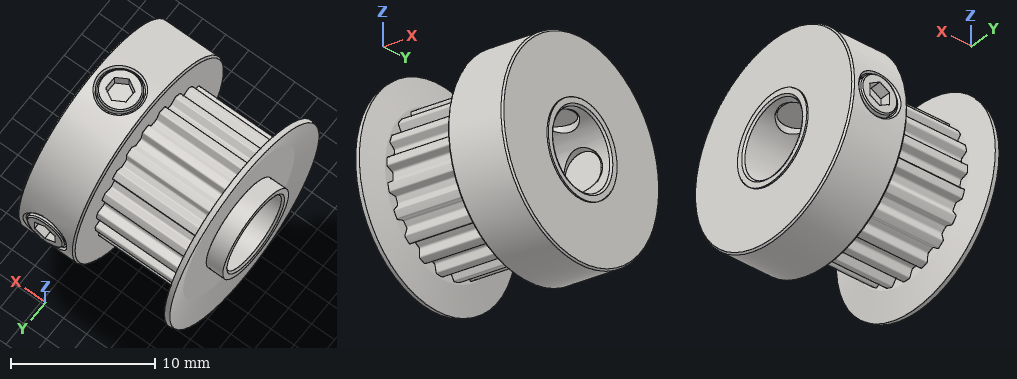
import cadquery as cq
import math

total_length = 14.29
flange_start = 0.97
flange_dish = 0.47
flange_thickness = 0.42
disc_front = flange_start + flange_dish
disc_back = disc_front + flange_thickness
collar_start = 9.24
collar_end = 14.16

outer_radius = 8.7
flange_lean = 0.09
flange_disc_radius = 6.42
boss_radius = 3.8
bore_radius = 3.17
bore_chamfer = 0.15
collar_chamfer = 0.14

tooth_count = 20
tooth_tip_radius = 6.25
tooth_root_radius = 5.59
tooth_tip_width = 0.7
tooth_flank_angle = 18.0
tooth_tip_fillet = 0.14
tooth_root_fillet = 0.2
tooth_phase = -4.0
tooth_blank_margin = 0.17

screw_radius = 1.62
screw_chamfer = 0.1
screw_hole_radius = 1.74
screw_hole_chamfer = 0.15
screw_x = 11.76
hex_across_flats = 1.75
hex_depth = 0.95
screw_turns = [0, -90]


def x_cylinder(radius, start, end):
    """Cylinder on the X axis between two X positions."""
    return cq.Workplane("YZ", origin=(start, 0, 0)).circle(radius).extrude(end - start)


def about_x(body, degrees):
    """Turn a body about the pulley axis."""
    return body.rotate((0, 0, 0), (1, 0, 0), degrees)


def make_flange():
    """Dished sheet: a flat disc with a conical wall that flares to the front."""
    return (
        cq.Workplane("XY")
        .polyline([
            (disc_front, 0),
            (disc_front, flange_disc_radius),
            (flange_start, outer_radius - flange_lean),
            (flange_start + flange_thickness, outer_radius),
            (disc_back, flange_disc_radius),
            (disc_back, 0),
        ])
        .close()
        .revolve(360, (0, 0, 0), (1, 0, 0))
    )


def tooth_half_width(radius):
    """Half width of the straight-flanked tooth blank at a distance from the axis."""
    return tooth_tip_width / 2 + (tooth_tip_radius - radius) * math.tan(math.radians(tooth_flank_angle))


def make_tooth(start):
    """One sharp-edged tooth along +Y, sunk into the drum and topped by the tip cylinder."""
    inner = tooth_root_radius - tooth_blank_margin
    outer = tooth_tip_radius + tooth_blank_margin
    blank = (
        cq.Workplane("YZ", origin=(start, 0, 0))
        .polyline([
            (inner, -tooth_half_width(inner)),
            (outer, -tooth_half_width(outer)),
            (outer, tooth_half_width(outer)),
            (inner, tooth_half_width(inner)),
        ])
        .close()
        .extrude(collar_start - start)
    )
    return blank.intersect(x_cylinder(tooth_tip_radius, start, collar_start))


def round_tooth_edges(drum):
    """Fillet the lengthwise edges, with one radius at the roots and another at the tips."""
    middle_radius = (tooth_tip_radius + tooth_root_radius) / 2
    tip_edges = []
    root_edges = []
    for edge in drum.edges("|X").vals():
        center = edge.Center()
        if math.hypot(center.y, center.z) > middle_radius:
            tip_edges.append(edge)
        else:
            root_edges.append(edge)
    solid = drum.val().fillet(tooth_root_fillet, root_edges)
    solid = solid.fillet(tooth_tip_fillet, tip_edges)
    return cq.Workplane(solid)


def make_toothed_drum():
    """Drum with evenly spaced teeth between the flange and the collar."""
    start = disc_front
    drum = x_cylinder(tooth_root_radius, start, collar_start)
    tooth = make_tooth(start)
    for index in range(tooth_count):
        drum = drum.union(about_x(tooth, tooth_phase + index * 360 / tooth_count))
    return round_tooth_edges(drum)


def cut_screw_hole(collar, turn):
    """Turn the collar so the hole points to +Z, cut and chamfer it, and turn it back."""
    hole = cq.Workplane("XY", origin=(screw_x, 0, 0)).circle(screw_hole_radius).extrude(outer_radius)
    collar = about_x(collar, -turn).cut(hole)
    rim = cq.selectors.NearestToPointSelector((screw_x, 0, outer_radius))
    collar = collar.edges(rim).chamfer(screw_hole_chamfer)
    return about_x(collar, turn)


def make_collar():
    """Collar with chamfered ends and a radial hole for each set screw."""
    collar = x_cylinder(outer_radius, collar_start, collar_end)
    collar = collar.faces("<X or >X").edges().chamfer(collar_chamfer)
    for turn in screw_turns:
        collar = cut_screw_hole(collar, turn)
    return collar


def make_bore():
    """Through bore with a chamfer at each end."""
    mouth_radius = bore_radius + bore_chamfer
    return (
        cq.Workplane("XY")
        .polyline([
            (0, 0),
            (0, mouth_radius),
            (bore_chamfer, bore_radius),
            (total_length - bore_chamfer, bore_radius),
            (total_length, mouth_radius),
            (total_length, 0),
        ])
        .close()
        .revolve(360, (0, 0, 0), (1, 0, 0))
    )


def make_pulley():
    """Toothed pulley: core, flange, teeth and collar in one piece, with the bore cut through."""
    core = x_cylinder(boss_radius, 0, disc_back)
    rear_boss = x_cylinder(boss_radius, collar_end, total_length)
    pulley = core.union(make_flange()).union(make_toothed_drum()).union(make_collar()).union(rear_boss)
    return pulley.cut(make_bore())


def make_screw(turn):
    """Set screw from the bore out to the collar surface, with a chamfered rim and a hex socket."""
    screw = (
        cq.Workplane("XY", origin=(screw_x, 0, bore_radius))
        .circle(screw_radius)
        .extrude(outer_radius - bore_radius)
        .faces(">Z")
        .edges()
        .chamfer(screw_chamfer)
    )
    hex_flat_half_angle = 30
    hex_across_corners = hex_across_flats / math.cos(math.radians(hex_flat_half_angle))
    socket = (
        cq.Workplane("XY", origin=(screw_x, 0, outer_radius - hex_depth))
        .transformed(rotate=(0, 0, hex_flat_half_angle))
        .polygon(6, hex_across_corners)
        .extrude(hex_depth)
    )
    return about_x(screw.cut(socket), turn)


pulley = make_pulley().solids().val()
set_screws = [make_screw(turn).solids().val() for turn in screw_turns]

result = cq.Compound.makeCompound([pulley, *set_screws])